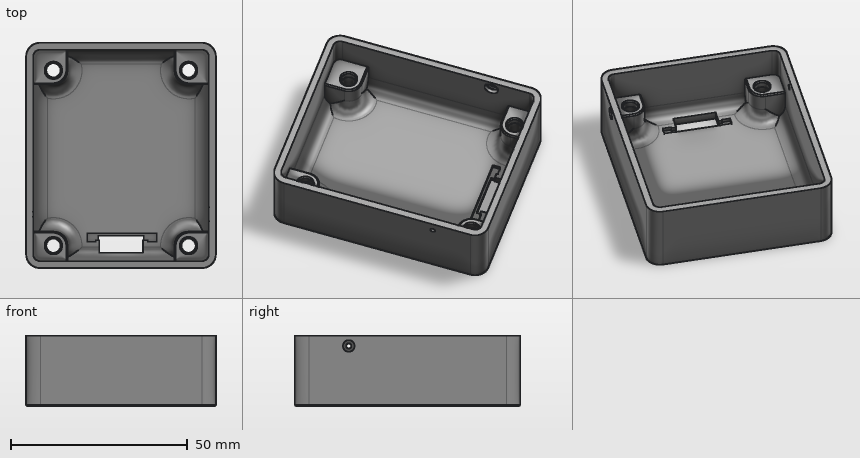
import cadquery as cq
import math

LENGTH_X = 53.72
LENGTH_Y = 63.75
HEIGHT = 20.0
WALL = 2.0
FLOOR = 2.0
CORNER_RADIUS = 4.0
BOTTOM_CHAMFER = 0.4
FLOOR_FILLET = 4.0

POST_TOP = 11.1
POST_RADIUS = 4.0
POST_FLARE = 4.0
POST_CHAMFER = 0.4
POST_X = 19.1
POST_Y_FRONT = -25.5
POST_Y_BACK = 24.05
SCREW_HOLE_DIAMETER = 4.0
INSERT_DIAMETER = 4.2
INSERT_DEPTH = 2.0
INSERT_CHAMFER = 0.4

SIDE_HOLE_Y = -16.6
SIDE_HOLE_Z = 17.05
LEFT_HOLE_DIAMETER = 1.4
RIGHT_HOLE_DIAMETER = 3.3
RIGHT_COUNTERBORE_DIAMETER = 4.0
RIGHT_COUNTERBORE_DEPTH = 1.2

WINDOW_X = 0.03
WINDOW_WIDTH = 12.3
WINDOW_Y_FRONT = -27.45
WINDOW_HEAD_WIDTH = 12.8
WINDOW_Y_BACK = -22.75
RECESS_X = 0.24
RECESS_WIDTH = 19.6
RECESS_NECK_WIDTH = 14.7
RECESS_Y_BACK = -22.05
RECESS_Y_STEP = -23.95
RECESS_Y_FRONT = -24.35
RECESS_DEPTH = 1.0

INNER_X = LENGTH_X / 2 - WALL
INNER_Y = LENGTH_Y / 2 - WALL


def rectangle_prism(x_min, x_max, y_min, y_max, z_min, z_max):
    """Axis-aligned block given by its limits."""
    block = cq.Workplane("XY").box(x_max - x_min, y_max - y_min, z_max - z_min, centered=False)
    return block.translate((x_min, y_min, z_min))


def outer_body():
    """Rounded box with a chamfered bottom edge."""
    body = cq.Workplane("XY").box(LENGTH_X, LENGTH_Y, HEIGHT, centered=(True, True, False))
    body = body.edges("|Z").fillet(CORNER_RADIUS)
    return body.faces("<Z").edges().chamfer(BOTTOM_CHAMFER)


def cavity():
    """Inside of the tray, with its lower edge rounded up into the walls."""
    space = cq.Workplane("XY").workplane(offset=FLOOR)
    space = space.box(2 * INNER_X, 2 * INNER_Y, HEIGHT, centered=(True, True, False))
    space = space.edges("<Z").fillet(FLOOR_FILLET)
    rounded_column = cq.Workplane("XY").box(2 * INNER_X, 2 * INNER_Y, 4 * HEIGHT)
    rounded_column = rounded_column.edges("|Z").fillet(CORNER_RADIUS - WALL)
    return space.intersect(rounded_column)


def post(x_sign, y_sign, hole_y):
    """Corner block with one round corner about the hole axis and a flared foot."""
    x_inner = POST_X - POST_RADIUS
    y_inner = y_sign * hole_y - POST_RADIUS
    block = rectangle_prism(x_inner, LENGTH_X / 2, y_inner, LENGTH_Y / 2, 0, POST_TOP)
    block = block.edges("|Z and <X and <Y").fillet(POST_RADIUS)
    block = block.faces(">Z").edges("<X or <Y or %CIRCLE").chamfer(POST_CHAMFER)
    foot_radius = POST_RADIUS + POST_FLARE
    flare_top = FLOOR + POST_FLARE
    arc_reach = POST_FLARE * math.sin(math.pi / 4)
    flare = (
        cq.Workplane("XZ")
        .lineTo(foot_radius, 0)
        .lineTo(foot_radius, FLOOR)
        .threePointArc((foot_radius - arc_reach, flare_top - arc_reach), (POST_RADIUS, flare_top))
        .lineTo(0, flare_top)
        .close()
        .revolve(360, (0, 0), (0, 1))
        .translate((POST_X, y_sign * hole_y, 0))
    )
    solid = block.union(flare)
    if x_sign < 0:
        solid = solid.mirror("YZ")
    if y_sign < 0:
        solid = solid.mirror("XZ")
    return solid


def post_hole(x, y):
    """Through hole widened near the post top for an insert, with a chamfered mouth."""
    insert_radius = INSERT_DIAMETER / 2
    return (
        cq.Workplane("XZ")
        .lineTo(SCREW_HOLE_DIAMETER / 2, 0)
        .lineTo(SCREW_HOLE_DIAMETER / 2, POST_TOP - INSERT_DEPTH)
        .lineTo(insert_radius, POST_TOP - INSERT_DEPTH)
        .lineTo(insert_radius, POST_TOP - INSERT_CHAMFER)
        .lineTo(insert_radius + INSERT_CHAMFER, POST_TOP)
        .lineTo(0, POST_TOP)
        .close()
        .revolve(360, (0, 0), (0, 1))
        .translate((x, y, 0))
    )


def side_bore(x_start, diameter, length):
    """Cylinder along +X on the side hole axis."""
    bore = cq.Workplane("YZ").circle(diameter / 2).extrude(length)
    return bore.translate((x_start, SIDE_HOLE_Y, SIDE_HOLE_Z))


def centred_slot(x_centre, width, y_min, y_max, z_min, z_max):
    """Block centred on a given X."""
    return rectangle_prism(x_centre - width / 2, x_centre + width / 2, y_min, y_max, z_min, z_max)


def floor_recess():
    """Shallow pocket in the floor whose two ends reach further forward than its middle."""
    bottom = FLOOR - RECESS_DEPTH
    pocket = centred_slot(RECESS_X, RECESS_WIDTH, RECESS_Y_FRONT, RECESS_Y_BACK, bottom, FLOOR)
    neck = centred_slot(RECESS_X, RECESS_NECK_WIDTH, RECESS_Y_FRONT, RECESS_Y_STEP, bottom, FLOOR)
    return pocket.cut(neck)


def floor_window():
    """T-shaped opening through the floor, wider at its back end."""
    top = FLOOR + FLOOR_FILLET
    window = centred_slot(WINDOW_X, WINDOW_WIDTH, WINDOW_Y_FRONT, WINDOW_Y_BACK, 0, top)
    head = centred_slot(WINDOW_X, WINDOW_HEAD_WIDTH, RECESS_Y_STEP, WINDOW_Y_BACK, 0, top)
    return window.union(head)


body = outer_body()
result = body.cut(cavity())

post_places = [
    (x_sign, y_sign, hole_y)
    for x_sign in (-1, 1)
    for y_sign, hole_y in ((-1, POST_Y_FRONT), (1, POST_Y_BACK))
]
for x_sign, y_sign, hole_y in post_places:
    result = result.union(post(x_sign, y_sign, hole_y).intersect(body))
for x_sign, _, hole_y in post_places:
    result = result.cut(post_hole(x_sign * POST_X, hole_y))

result = result.cut(side_bore(-LENGTH_X / 2, LEFT_HOLE_DIAMETER, WALL))
result = result.cut(side_bore(INNER_X, RIGHT_HOLE_DIAMETER, WALL))
result = result.cut(side_bore(INNER_X, RIGHT_COUNTERBORE_DIAMETER, RIGHT_COUNTERBORE_DEPTH))
result = result.cut(floor_recess())
result = result.cut(floor_window())